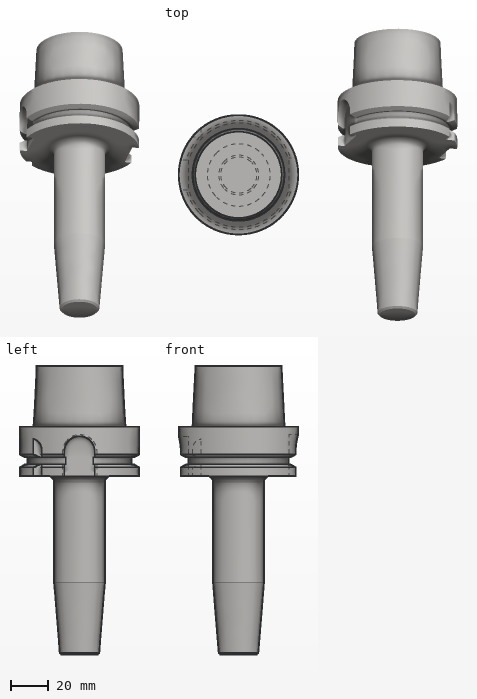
import cadquery as cq
import math


cone_length = 32.0
cone_taper = 1 / 10
cone_gauge_diameter = 48.01
cone_gauge_height = 6.3
cone_base_radius = (cone_gauge_diameter + cone_taper * cone_gauge_height) / 2
cone_top_radius = cone_base_radius - cone_taper * cone_length / 2

flange_radius = 63.0 / 2
flange_thickness = 26.0
groove_radius = 55.0 / 2
groove_center_z = -18.0
groove_floor_width = 3.75
groove_mouth_width = 6.9
groove_flank_angle = 30.0
groove_flank_height = (groove_mouth_width - groove_floor_width) / 2
groove_flank_radius = flange_radius - groove_flank_height / math.tan(math.radians(groove_flank_angle))

wide_slot_width = 18.0
narrow_slot_width = 16.0
slot_floor_distance = 26.5
slot_center_z = -13.0

notch_wall_distance = 19.9
notch_corner_radius = 6.0
notch_center_z = -12.2

shank_radius = 27.0 / 2
shank_fillet = 3.0
tip_z = -120.0
tip_radius = 21.0 / 2
nose_half_angle = 4.5
nose_start_z = tip_z + (shank_radius - tip_radius) / math.tan(math.radians(nose_half_angle))
tip_chamfer = 1.0


def make_flange_blank():
    """Cone and flange turned about Z, with the gripper groove."""
    floor_top = groove_center_z + groove_floor_width / 2
    floor_bottom = groove_center_z - groove_floor_width / 2
    return (
        cq.Workplane("XZ")
        .moveTo(0, cone_length)
        .lineTo(cone_top_radius, cone_length)
        .lineTo(cone_base_radius, 0)
        .lineTo(flange_radius, 0)
        .lineTo(flange_radius, groove_center_z + groove_mouth_width / 2)
        .lineTo(groove_flank_radius, floor_top)
        .lineTo(groove_radius, floor_top)
        .lineTo(groove_radius, floor_bottom)
        .lineTo(groove_flank_radius, floor_bottom)
        .lineTo(flange_radius, groove_center_z - groove_mouth_width / 2)
        .lineTo(flange_radius, -flange_thickness)
        .lineTo(0, -flange_thickness)
        .close()
        .revolve(360, (0, 0, 0), (0, 1, 0))
    )


def round_topped_cutter(center_y, center_z, radius, inner_x):
    """Upright slot with a half-round top, reaching from inner_x out past the flange on the +X side."""
    return (
        cq.Workplane("YZ", origin=(inner_x, 0, 0))
        .moveTo(center_y - radius, -flange_thickness)
        .lineTo(center_y - radius, center_z)
        .threePointArc((center_y, center_z + radius), (center_y + radius, center_z))
        .lineTo(center_y + radius, -flange_thickness)
        .close()
        .extrude(flange_radius)
    )


def make_taper_flange():
    body = make_flange_blank()
    for width, angle in ((wide_slot_width, 0), (narrow_slot_width, 180)):
        slot = round_topped_cutter(0, slot_center_z, width / 2, slot_floor_distance)
        body = body.cut(slot.rotate((0, 0, 0), (0, 0, 1), angle))
    notch_center_y = notch_wall_distance + notch_corner_radius
    notch = round_topped_cutter(notch_center_y, notch_center_z, notch_corner_radius, notch_wall_distance)
    return body.cut(notch.mirror("YZ"))


def make_chuck():
    """Shank and nose turned about Z, flared by a fillet under the flange."""
    fillet_mid = shank_fillet * (1 - math.sqrt(0.5))
    return (
        cq.Workplane("XZ")
        .moveTo(0, -flange_thickness)
        .lineTo(shank_radius + shank_fillet, -flange_thickness)
        .threePointArc(
            (shank_radius + fillet_mid, -flange_thickness - fillet_mid),
            (shank_radius, -flange_thickness - shank_fillet),
        )
        .lineTo(shank_radius, nose_start_z)
        .lineTo(tip_radius, tip_z + tip_chamfer)
        .lineTo(tip_radius - tip_chamfer, tip_z)
        .lineTo(0, tip_z)
        .close()
        .revolve(360, (0, 0, 0), (0, 1, 0))
    )


taper_flange = make_taper_flange()
chuck = make_chuck()

result = cq.Compound.makeCompound([taper_flange.val(), chuck.val()])